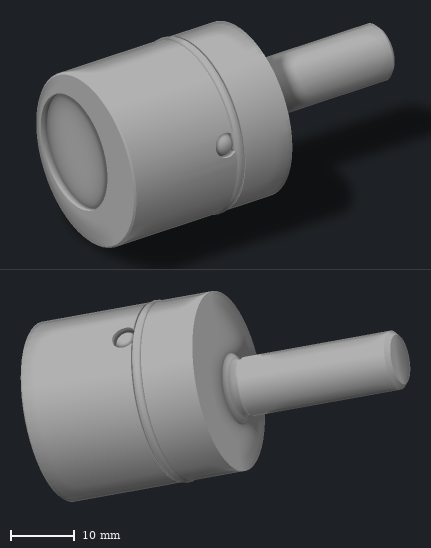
import cadquery as cq
import math

total_length = 57.3
housing_radius = 14.3
housing_length = 29.4
front_chamfer = 0.3

eccentric_offset = -3.15
pocket_radius = 9.55
pocket_depth = 1.15

shank_radius = 4.7
tip_chamfer = 0.75
shank_start = 31.5
neck_radius = 4.4
neck_position = 30.8
flare_start_radius = 4.9
flare_start = 30.1
flare_end_radius = 5.65

ring_outer_radius = 14.52
ring_section_radius = 0.85
ring_position = 19.75
ring_center_radius = ring_outer_radius - ring_section_radius
groove_width = 2 * ring_section_radius
groove_floor_radius = ring_center_radius - ring_section_radius

side_hole_radius = 2.0
dome_tip_radius = 14.25
side_hole_position = 17.45
side_hole_angle = 16.0


def revolve_about_y(profile):
    return profile.revolve(360, (0, 0, 0), (0, 1, 0))


def make_cylinder_body():
    body = cq.Workplane("XZ").circle(housing_radius).extrude(-housing_length)
    return body.faces("<Y").chamfer(front_chamfer)


def make_shank():
    profile = (
        cq.Workplane("XY")
        .moveTo(0, housing_length)
        .lineTo(flare_end_radius, housing_length)
        .lineTo(flare_start_radius, flare_start)
        .threePointArc((neck_radius, neck_position), (shank_radius, shank_start))
        .lineTo(shank_radius, total_length - tip_chamfer)
        .lineTo(shank_radius - tip_chamfer, total_length)
        .lineTo(0, total_length)
        .close()
    )
    return revolve_about_y(profile).translate((eccentric_offset, 0, 0))


def make_front_pocket():
    return (
        cq.Workplane("XZ")
        .center(eccentric_offset, 0)
        .circle(pocket_radius)
        .extrude(-pocket_depth)
    )


def make_ring_groove():
    groove_depth = housing_radius - groove_floor_radius
    groove_middle_radius = housing_radius - groove_depth / 2
    profile = (
        cq.Workplane("XY")
        .center(groove_middle_radius, ring_position)
        .rect(groove_depth, groove_width)
    )
    return profile.revolve(360, (-groove_middle_radius, 0, 0), (-groove_middle_radius, 1, 0))


def make_side_hole_cutter():
    angle = math.radians(side_hole_angle)
    outward = cq.Vector(math.cos(angle), 0, math.sin(angle))
    dome_center_radius = dome_tip_radius - side_hole_radius
    dome_center = outward * dome_center_radius + cq.Vector(0, side_hole_position, 0)
    hole_length = 2 * side_hole_radius
    hole = cq.Solid.makeCylinder(side_hole_radius, hole_length, dome_center, outward)
    dome = cq.Workplane("XY").sphere(side_hole_radius).translate(dome_center)
    return cq.Workplane(hole).cut(dome)


def make_housing():
    housing = make_cylinder_body().union(make_shank())
    for cutter in (make_front_pocket(), make_side_hole_cutter(), make_ring_groove()):
        housing = housing.cut(cutter)
    return housing


def make_sealing_ring():
    return cq.Solid.makeTorus(
        ring_center_radius,
        ring_section_radius,
        cq.Vector(0, ring_position, 0),
        cq.Vector(0, 1, 0),
    )


housing = make_housing()
sealing_ring = make_sealing_ring()

result = cq.Compound.makeCompound([housing.val(), sealing_ring])